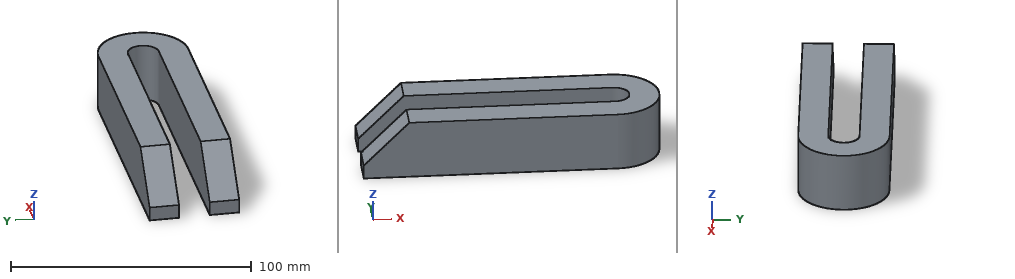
import cadquery as cq

length = 125.0
width = 38.0
height = 25.0
slot_width = 13.0
tip_height = 6.0

end_radius = width / 2
slot_radius = slot_width / 2
round_center_x = length - end_radius

bevel = height - tip_height


def round_ended_bar(radius):
    """Full-height bar from X = 0, with a semicircular end at +X."""
    return (
        cq.Workplane("XY")
        .moveTo(0, -radius)
        .lineTo(round_center_x, -radius)
        .threePointArc((round_center_x + radius, 0), (round_center_x, radius))
        .lineTo(0, radius)
        .close()
        .extrude(height)
    )


def tip_bevel():
    """Wedge removed from the top of both prong tips."""
    return (
        cq.Workplane("XZ")
        .moveTo(0, tip_height)
        .lineTo(bevel, height)
        .lineTo(0, height)
        .close()
        .extrude(width / 2, both=True)
    )


result = round_ended_bar(end_radius).cut(round_ended_bar(slot_radius)).cut(tip_bevel())